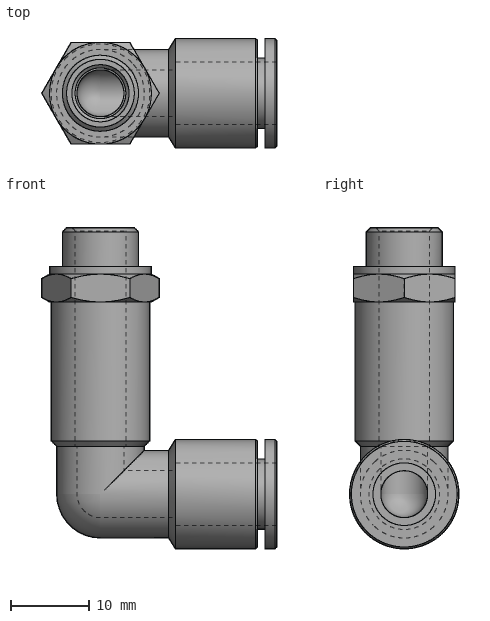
import cadquery as cq
import math


elbow_d = 11.2
elbow_bore_d = 6.0

sleeve_d = 12.6
hex_flats = 13.0
thread_d = 9.7
stem_bore_d = 6.48
sleeve_bottom = 6.1
sleeve_chamfer = (sleeve_d - elbow_d) / 2
hex_bottom = 24.5
hex_top = 28.1
hex_chamfer_angle = 30
thread_bottom = 29.05
thread_chamfer = 0.55
mouth_chamfer = 0.4

socket_d = 14.0
collet_d = 9.0
tube_d = 8.0
socket_start = 8.7
socket_full = 9.55
socket_end = 20.0
socket_chamfer = 0.2
collar_start = 21.0
collar_chamfer = 0.25

part_height = 41.0
part_length = 30.0
hex_corners = hex_flats / math.cos(math.radians(30))
stem_top = part_height - socket_d / 2
socket_mouth = part_length - hex_corners / 2


def rod_z(diameter, start, end):
    """Cylinder on the stem axis."""
    return cq.Workplane("XY").workplane(offset=start).circle(diameter / 2).extrude(end - start)


def rod_x(diameter, start, end):
    """Cylinder on the socket axis."""
    return cq.Workplane("YZ").workplane(offset=start).circle(diameter / 2).extrude(end - start)


def mitred_bend(diameter, rise, reach):
    """Two equal cylinders meeting at the origin, with a spherical outer corner."""
    bend = cq.Workplane("XY").sphere(diameter / 2)
    return bend.union(rod_z(diameter, 0, rise)).union(rod_x(diameter, 0, reach))


def hexagon_nut():
    """Hexagon with its corners bevelled on both faces."""
    height = hex_top - hex_bottom
    prism = cq.Workplane("XY").workplane(offset=hex_bottom).polygon(6, hex_corners).extrude(height)
    flat_r = hex_flats / 2
    corner_r = hex_corners / 2
    drop = (corner_r - flat_r) * math.tan(math.radians(hex_chamfer_angle))
    bevel_profile = [
        (0, hex_bottom),
        (flat_r, hex_bottom),
        (corner_r, hex_bottom + drop),
        (corner_r, hex_top - drop),
        (flat_r, hex_top),
        (0, hex_top),
    ]
    bevel = cq.Workplane("XZ").polyline(bevel_profile).close().revolve(360, (0, 0, 0), (0, 1, 0))
    return prism.intersect(bevel)


def stem():
    sleeve = rod_z(sleeve_d, sleeve_bottom, hex_bottom).faces("<Z").chamfer(sleeve_chamfer)
    flange = rod_z(hex_flats, hex_top, thread_bottom)
    thread = rod_z(thread_d, thread_bottom, stem_top).faces(">Z").chamfer(thread_chamfer)
    return sleeve.union(hexagon_nut()).union(flange).union(thread)


def socket():
    """Socket body, collet neck and release collar, revolved about X."""
    socket_r = socket_d / 2
    collet_r = collet_d / 2
    profile = [
        (socket_start, 0),
        (socket_start, elbow_d / 2),
        (socket_full, socket_r),
        (socket_end - socket_chamfer, socket_r),
        (socket_end, socket_r - socket_chamfer),
        (socket_end, collet_r),
        (collar_start, collet_r),
        (collar_start, socket_r),
        (socket_mouth - collar_chamfer, socket_r),
        (socket_mouth, socket_r - collar_chamfer),
        (socket_mouth, 0),
    ]
    return cq.Workplane("XZ").polyline(profile).close().revolve(360, (0, 0, 0), (1, 0, 0))


def passages():
    """Elbow passage, wider stem bore with a chamfered mouth, and tube bore."""
    bore_r = stem_bore_d / 2
    mouth = cq.Workplane("XY").add(
        cq.Solid.makeCone(
            bore_r,
            bore_r + mouth_chamfer,
            mouth_chamfer,
            pnt=cq.Vector(0, 0, stem_top - mouth_chamfer),
        )
    )
    bend = mitred_bend(elbow_bore_d, sleeve_bottom, socket_full)
    stem_bore = rod_z(stem_bore_d, sleeve_bottom, stem_top)
    tube_bore = rod_x(tube_d, socket_full, socket_mouth)
    return bend.union(stem_bore).union(mouth).union(tube_bore)


body = mitred_bend(elbow_d, sleeve_bottom, socket_start).union(stem()).union(socket())
result = body.cut(passages())